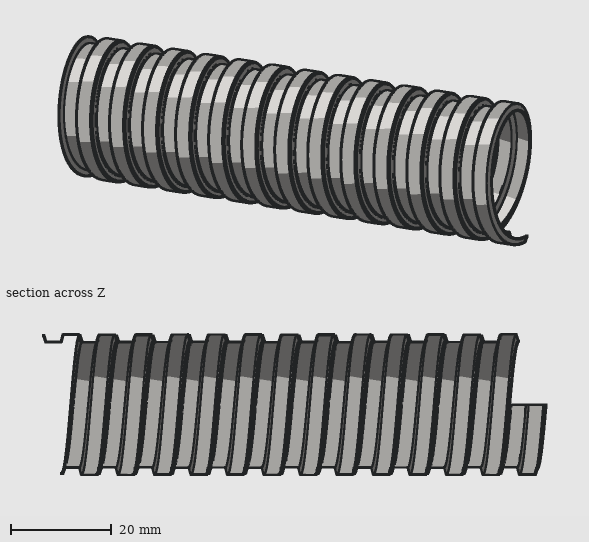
import cadquery as cq


overall_length = 100.0
outer_diameter = 28.0
inner_diameter = 24.7
strip_thickness = 0.2
strip_width = 7.6
lip_length = 0.1
wall_lean = 0.4
bend_shift = 0.15
riser_bend_radius = 0.3
turns = 12.75

helix_height = overall_length - strip_width
pitch = helix_height / turns

outer_radius = outer_diameter / 2
inner_radius = inner_diameter / 2
outer_band_inside = outer_radius - strip_thickness
inner_band_outside = inner_radius + strip_thickness
hook_lip_inside = outer_band_inside - strip_thickness
middle_radius = (outer_radius + inner_radius) / 2


def opposite(point):
    """Turn a section point half a revolution about the middle of the section."""
    radius, axial = point
    return (2 * middle_radius - radius, strip_width - axial)


def strip_section():
    """S-shaped strip section, drawn in (radius, axial position) coordinates."""
    hook_foot = lip_length + wall_lean
    riser_foot = (strip_width - wall_lean - bend_shift) / 2
    riser_top = (outer_radius, riser_foot + wall_lean)
    upper_face = [
        (hook_lip_inside, 0),
        (outer_band_inside, 0),
        (outer_band_inside, lip_length + bend_shift),
        (inner_band_outside, hook_foot + bend_shift),
        (inner_band_outside, riser_foot),
        riser_top,
        opposite((inner_radius, hook_foot)),
        opposite((hook_lip_inside, lip_length)),
    ]
    lower_face = [opposite(point) for point in upper_face]
    outline = cq.Sketch().polygon(upper_face + lower_face + upper_face[:1])
    for radius, axial in (riser_top, opposite(riser_top)):
        nearest = cq.selectors.NearestToPointSelector((radius, axial, 0))
        outline = outline.vertices(nearest).fillet(riser_bend_radius).reset()
    return outline


helix = cq.Workplane(cq.Wire.makeHelix(pitch, helix_height, middle_radius))
strip = cq.Workplane("XZ").placeSketch(strip_section()).sweep(helix, isFrenet=True)

cyclic_axis = (1, 1, 1)
cyclic_angle = 120
result = (
    strip.rotate((0, 0, 0), cyclic_axis, cyclic_angle)
    .translate((-overall_length / 2, 0, 0))
)